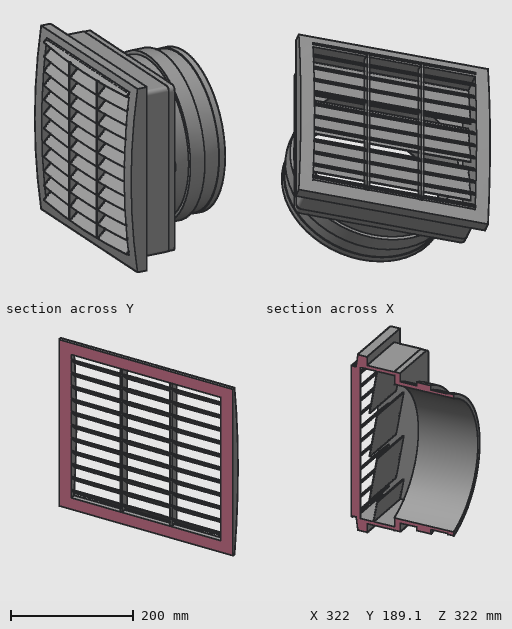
import cadquery as cq
import math


frame_size = 322.0
frame_depth = 29.5
frame_edge_depth = 17.7
opening = 275.5

slat_count = 12
slat_pitch = 25.0
slat_top = 137.5
slat_width = 23.8
slat_thickness = 2.0
slat_sag = 5.0
divider_width = 4.0
divider_depth = 17.0
divider_offset = opening / 6

box_size = 290.5
flange_size = 290.8
box_depth = 50.0
box_radius = 7.5
flange_depth = 11.0
flange_radius = 9.5
box_end = box_depth + flange_depth

flap_count = 4
flap_pitch = 79.5
flap_top = 138.0
flap_thickness = 2.0
flap_lean = 10.0
flap_front = 3.2

duct_diameter = 275.5
duct_stretches = [
    (duct_diameter, 30.0),
    (288.0, 27.0),
    (272.7, 30.3),
    (duct_diameter, 11.3),
]
duct_length = sum(length for _, length in duct_stretches)
wall = (box_size - opening) / 2
duct_bore = duct_diameter - 2 * wall

boss_diameter = 25.0
boss_height = 4.5
boss_reach = 140.7


def box_between(width, height, y_start, y_end):
    """Block centred on the Y axis, from y_start to y_end."""
    return cq.Workplane("XY").box(width, y_end - y_start, height).translate((0, (y_start + y_end) / 2, 0))


def cylinder_along_y(diameter, y_start, length, x=0.0):
    return cq.Workplane("XZ", origin=(x, y_start, 0)).circle(diameter / 2).extrude(-length)


def make_frame():
    """Square frame whose front face bulges around an axis parallel to X."""
    half = frame_size / 2
    profile = (
        cq.Workplane("YZ")
        .moveTo(0, -half)
        .lineTo(-frame_edge_depth, -half)
        .threePointArc((-frame_depth, 0), (-frame_edge_depth, half))
        .lineTo(0, half)
        .close()
    )
    frame = profile.extrude(half, both=True)
    return frame.cut(box_between(opening, opening, -2 * frame_depth, frame_depth))


def make_housing():
    """Square housing, open at the front, closed by a flange with the duct bore."""
    body = box_between(box_size, box_size, 0, box_depth).edges("|Y").fillet(box_radius)
    flange = box_between(flange_size, flange_size, box_depth, box_end).edges("|Y").fillet(flange_radius)
    return body.cut(box_between(opening, opening, 0, box_depth)).union(flange)


def make_duct():
    duct = cylinder_along_y(boss_diameter, box_end, boss_height, boss_reach - boss_diameter / 2)
    y_start = box_end
    for diameter, length in duct_stretches:
        duct = duct.union(cylinder_along_y(diameter, y_start, length))
        y_start += length
    return duct


def make_slats():
    """Sloping plates whose front and back edges bow towards the front."""
    half = opening / 2
    slats = cq.Workplane("XY")
    for index in range(slat_count):
        top_face = cq.Plane(
            origin=(0, -frame_depth, slat_top - index * slat_pitch),
            xDir=(1, 0, 0),
            normal=(0, -1, 1),
        )
        slat = (
            cq.Workplane(top_face)
            .moveTo(-half, slat_sag)
            .threePointArc((0, 0), (half, slat_sag))
            .lineTo(half, slat_sag + slat_width)
            .threePointArc((0, slat_width), (-half, slat_sag + slat_width))
            .close()
            .extrude(-slat_thickness)
        )
        slats = slats.add(slat)
    return slats.combine()


def make_dividers():
    bar = box_between(divider_width, opening, -frame_depth, -frame_depth + divider_depth)
    return bar.translate((divider_offset, 0, 0)).union(bar.translate((-divider_offset, 0, 0)))


def make_flaps():
    """Closed shutter flaps, leaning so that each lower edge covers the next flap."""
    lean_depth = flap_pitch * math.tan(math.radians(flap_lean))
    flaps = cq.Workplane("XY")
    for index in range(flap_count):
        z_top = flap_top - index * flap_pitch
        flap = (
            cq.Workplane("YZ")
            .moveTo(flap_front, z_top - flap_pitch)
            .lineTo(flap_front + lean_depth, z_top)
            .lineTo(flap_front + lean_depth + flap_thickness, z_top)
            .lineTo(flap_front + flap_thickness, z_top - flap_pitch)
            .close()
            .extrude(box_size / 2, both=True)
        )
        flaps = flaps.add(flap)
    return flaps.combine().intersect(box_between(box_size, opening, 0, box_depth))


bore = cylinder_along_y(duct_bore, box_depth, flange_depth + duct_length)

result = (
    make_frame()
    .union(make_housing())
    .union(make_duct())
    .cut(bore)
    .union(make_slats())
    .union(make_dividers())
    .union(make_flaps())
)